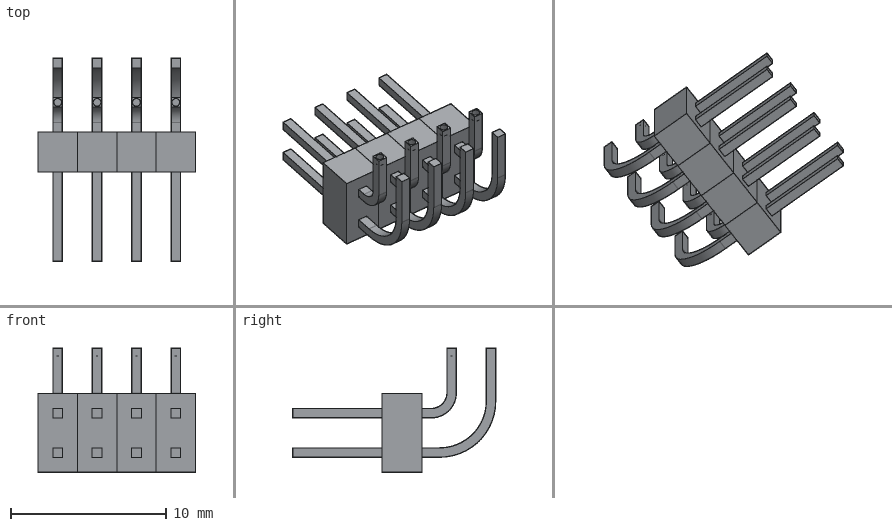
import cadquery as cq

PITCH = 2.54
COLUMNS = 4
ROWS = 2
BLOCK_DEPTH = 2.6
PIN_WIDTH = 0.62
FRONT_LENGTH = 5.75
REAR_REACH = 4.75
PIN_TOP = 8.0
UPPER_BEND_INNER_RADIUS = 1.0
LOWER_BEND_INNER_RADIUS = 3.0
SOCKET_DIAMETER = 0.5
SOCKET_DEPTH = 0.5

BLOCK_HEIGHT = ROWS * PITCH
BLOCK_FRONT = -BLOCK_DEPTH / 2
BLOCK_REAR = BLOCK_DEPTH / 2
PIN_FRONT = BLOCK_FRONT - FRONT_LENGTH
LOWER_PIN_Z = PITCH / 2
UPPER_PIN_Z = LOWER_PIN_Z + PITCH
LOWER_UPRIGHT_Y = BLOCK_REAR + REAR_REACH - PIN_WIDTH / 2
UPPER_UPRIGHT_Y = LOWER_UPRIGHT_Y - PITCH


def bent_pin(x, leg_z, upright_y, inner_radius):
    """Square pin running back along Y, then bent upwards to its upright end."""
    radius = inner_radius + PIN_WIDTH / 2
    path = (
        cq.Workplane("YZ", origin=(x, 0, 0))
        .moveTo(PIN_FRONT, leg_z)
        .lineTo(upright_y - radius, leg_z)
        .radiusArc((upright_y, leg_z + radius), -radius)
        .lineTo(upright_y, PIN_TOP)
    )
    section = cq.Workplane("XZ", origin=(x, PIN_FRONT, leg_z)).rect(PIN_WIDTH, PIN_WIDTH)
    return section.sweep(path)


def end_socket(x):
    """Blind round hole in the top end of the upper pin."""
    return (
        cq.Workplane("XY", origin=(x, UPPER_UPRIGHT_Y, PIN_TOP - SOCKET_DEPTH))
        .circle(SOCKET_DIAMETER / 2)
        .extrude(SOCKET_DEPTH)
    )


def header_segment(x):
    """One column of the header: its block with the lower and upper pins in one solid."""
    block = cq.Workplane("XY", origin=(x, 0, 0)).box(
        PITCH, BLOCK_DEPTH, BLOCK_HEIGHT, centered=(True, True, False)
    )
    lower_pin = bent_pin(x, LOWER_PIN_Z, LOWER_UPRIGHT_Y, LOWER_BEND_INNER_RADIUS)
    upper_pin = bent_pin(x, UPPER_PIN_Z, UPPER_UPRIGHT_Y, UPPER_BEND_INNER_RADIUS)
    return block.union(lower_pin).union(upper_pin).cut(end_socket(x))


first_column_x = -(COLUMNS - 1) * PITCH / 2
segments = [header_segment(first_column_x + column * PITCH) for column in range(COLUMNS)]

result = cq.Compound.makeCompound([segment.val() for segment in segments])